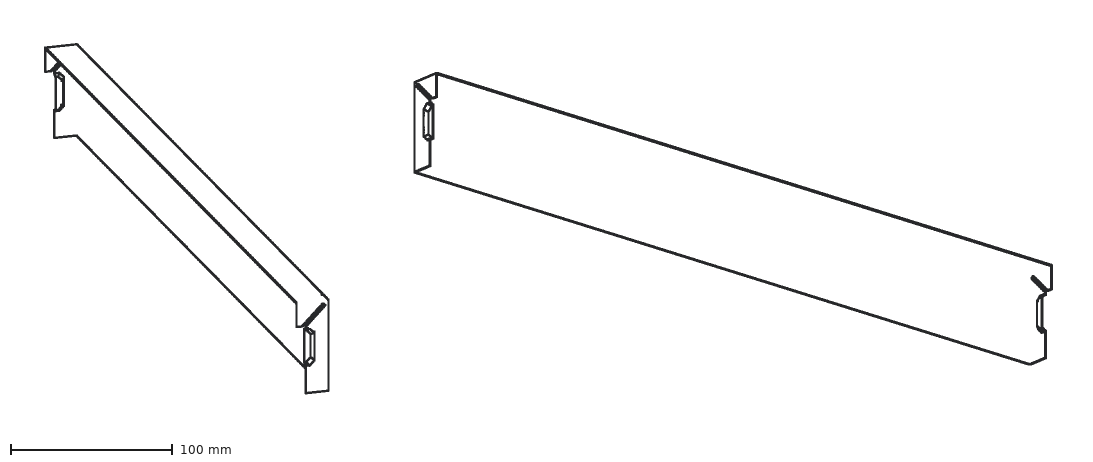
import cadquery as cq
import math

length = 502.0
depth = 21.0
height = 60.0
sheet = 0.8
bend_radius = 1.0

flange_depth = 15.0
tab_height = 16.0
gap_width = 1.8
gap_start = 3.0

lip_run = 5.5
lip_offset = 2.6
lip_length = 24.0
lip_corner = 3.0
lip_slope = 1.5
lip_wall = 0.5

half_length = length / 2
front = -depth / 2
back = depth / 2
bottom = -height / 2
top = height / 2
inner_radius = bend_radius - sheet
flange_edge = back - flange_depth
tab_bottom = top - tab_height
gap_end = max(flange_depth, tab_height) + gap_width / 2


def box(x_range, y_range, z_range):
    """Box spanning three (low, high) ranges."""
    x_size, y_size, z_size = (high - low for low, high in (x_range, y_range, z_range))
    corner = (x_range[0], y_range[0], z_range[0])
    return cq.Workplane("XY").box(x_size, y_size, z_size, centered=False).translate(corner)


def bent_block(inset, radius):
    """Block inset from the outer faces, with the bends rounded at the back, the top and both ends."""
    block = box(
        (-half_length + inset, half_length - inset),
        (front, back - inset),
        (bottom, top - inset),
    )
    return block.edges("(>Y and |Z) or (>Z and (>Y or <X or >X))").fillet(radius)


def make_shell():
    """Back panel, top flange and ends of one sheet thickness, with short tabs in front of the flanges."""
    shell = bent_block(0, bend_radius).cut(bent_block(sheet, inner_radius))
    below_tabs = box((-half_length, half_length), (front, flange_edge), (bottom, tab_bottom))
    return shell.cut(below_tabs)


def make_mitre_gap():
    """Gap at the +X end along the 45 degree line from the back top corner, open at the flange edge."""
    middle = (gap_start + gap_end) / 2
    return (
        cq.Workplane("YZ", origin=(half_length - sheet, back - middle, top - middle))
        .transformed(rotate=(0, 0, 45))
        .rect((gap_end - gap_start) * math.sqrt(2), gap_width)
        .extrude(sheet)
    )


def lip_outline(shrink):
    """Corner points (Y, Z) of the lip outline with its back and both ends moved inwards."""
    root = flange_edge + lip_run - shrink
    low = -lip_length / 2 + shrink
    high = lip_length / 2 - shrink
    return [
        (flange_edge, low),
        (root - lip_corner, low),
        (root, low + lip_corner),
        (root, high - lip_corner),
        (root - lip_corner, high),
        (flange_edge, high),
    ]


def lip_block(face_x, growth):
    """Block with sloped sides at the +X end, reaching inwards from a flange face by the lip offset."""
    return (
        cq.Workplane("YZ", origin=(face_x, 0, 0))
        .polyline(lip_outline(-growth))
        .close()
        .workplane(offset=-lip_offset)
        .polyline(lip_outline(lip_slope - growth))
        .close()
        .loft(ruled=True)
    )


def both_ends(feature):
    """The feature at the +X end together with its mirror image at the -X end."""
    return feature.union(feature.mirror("YZ"))


result = make_shell()
result = result.cut(both_ends(make_mitre_gap()))
result = result.union(both_ends(lip_block(half_length - sheet, lip_wall)))
result = result.cut(both_ends(lip_block(half_length, 0)))